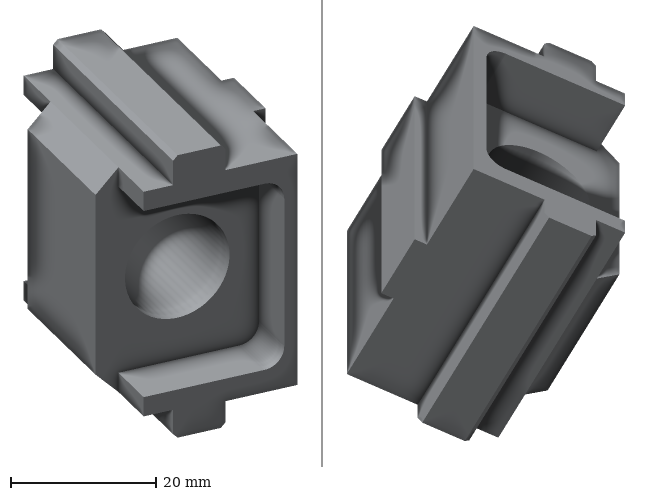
import cadquery as cq

length = 38.0
back_y = 14.5
flange_front_y = -9.0
back_half_height = 18.0
front_half_height = 17.5

rail_back_y = 3.5
rail_front_y = -4.5
rail_half_height = 22.0
rail_chamfer = 0.7

recess_back_y = 12.5
recess_half_height = 14.5
recess_fillet = 3.0
left_recess_depth = 8.5
right_recess_depth = 8.0

block_min_x = -length / 2 + left_recess_depth
block_max_x = length / 2 - right_recess_depth
block_width = block_max_x - block_min_x
nose_front_y = -12.5
nose_chamfer = flange_front_y - nose_front_y
bore_diameter = 16.0

tab_width = 10.0
tab_back_y = 16.4


def box_between(x_range, y_range, z_range):
    """Return a box spanning the given (low, high) range on each axis."""
    ranges = (x_range, y_range, z_range)
    sizes = [high - low for low, high in ranges]
    return cq.Workplane("XY").box(*sizes, centered=False).translate(tuple(low for low, _ in ranges))


def make_body():
    """Full-length body, slightly lower in front of the rails."""
    x_range = (-length / 2, length / 2)
    back = box_between(x_range, (rail_front_y, back_y), (-back_half_height, back_half_height))
    front = box_between(x_range, (flange_front_y, rail_front_y), (-front_half_height, front_half_height))
    return back.union(front)


def make_rails():
    """Upper and lower rails as one bar with chamfered outer edges."""
    bar = box_between(
        (-length / 2, length / 2),
        (rail_front_y, rail_back_y),
        (-rail_half_height, rail_half_height),
    )
    return bar.edges("|X").chamfer(rail_chamfer)


def make_recess(start_x, end_x):
    """Cutter for one side recess, open to the front and rounded at the back corners."""
    cutter = box_between(
        (start_x, end_x),
        (flange_front_y, recess_back_y),
        (-recess_half_height, recess_half_height),
    )
    return cutter.edges("|X and >Y").fillet(recess_fillet)


def make_nose():
    """Front of the central block, with sloped upper and lower edges."""
    half_flat = front_half_height - nose_chamfer
    profile = [
        (flange_front_y, -front_half_height),
        (nose_front_y, -half_flat),
        (nose_front_y, half_flat),
        (flange_front_y, front_half_height),
    ]
    return cq.Workplane("YZ", origin=(block_min_x, 0, 0)).polyline(profile).close().extrude(block_width)


def make_tab():
    """Full-height tab on the back face."""
    return box_between(
        (-tab_width / 2, tab_width / 2),
        (back_y, tab_back_y),
        (-back_half_height, back_half_height),
    )


def make_bore():
    """Cutter for the bore along X."""
    return cq.Workplane("YZ").circle(bore_diameter / 2).extrude(length / 2, both=True)


result = make_body().union(make_rails())
result = result.cut(make_recess(-length / 2, block_min_x))
result = result.cut(make_recess(block_max_x, length / 2))
result = result.union(make_nose()).union(make_tab())
result = result.cut(make_bore())